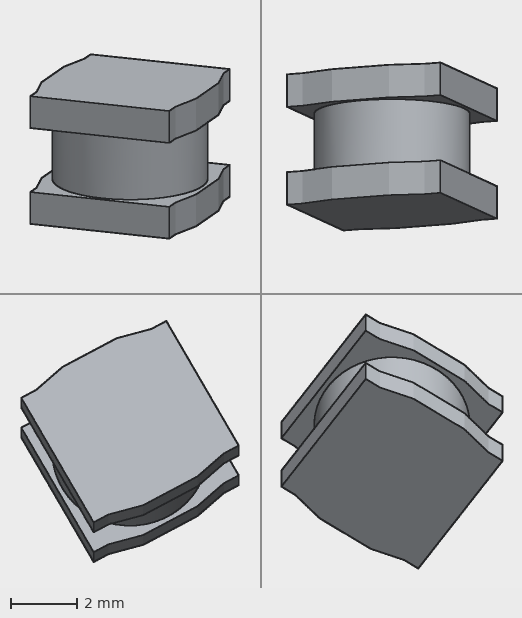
import cadquery as cq

plate_length = 5.0
plate_end_width = 4.5
total_height = 4.0
plate_thickness = 1.0
core_diameter = 4.695

end_straight = 0.515
bulge_flat_length = 1.865

core_height = total_height - 2 * plate_thickness


def make_plate(bottom_z):
    """Flat end plate whose two X sides bulge outward in the middle."""
    half_length = plate_length / 2
    half_end_width = plate_end_width / 2
    slope_start_y = half_length - end_straight
    half_flat = bulge_flat_length / 2
    right_side = [
        (half_end_width, -half_length),
        (half_end_width, -slope_start_y),
        (half_length, -half_flat),
        (half_length, half_flat),
        (half_end_width, slope_start_y),
        (half_end_width, half_length),
    ]
    left_side = [(-x, y) for x, y in reversed(right_side)]
    return (
        cq.Workplane("XY", origin=(0, 0, bottom_z))
        .polyline(right_side + left_side)
        .close()
        .extrude(plate_thickness)
    )


def make_core():
    """Round core standing between the two plates."""
    return (
        cq.Workplane("XY", origin=(0, 0, plate_thickness))
        .circle(core_diameter / 2)
        .extrude(core_height)
    )


core = make_core()
plates = [make_plate(bottom_z) for bottom_z in (0, plate_thickness + core_height)]

result = cq.Compound.makeCompound([core.val(), *[plate.val() for plate in plates]])